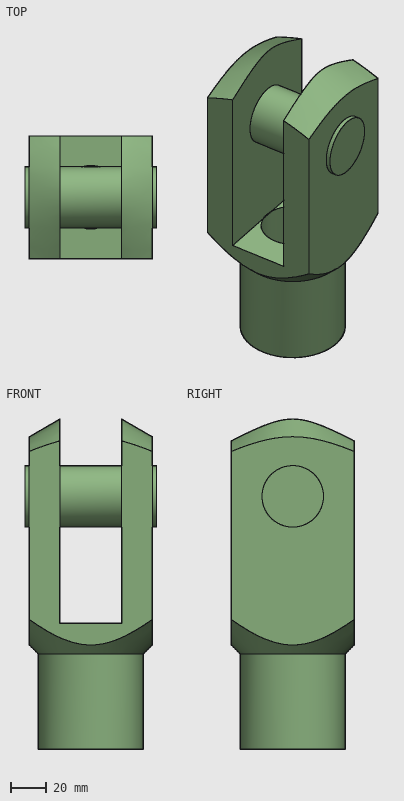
import cadquery as cq
import math

body_width = 70.0
total_height = 188.0
slot_width = 35.0
slot_floor = 72.0

neck_diameter = 60.0
neck_height = 54.5
neck_chamfer = 0.5
bore_diameter = 36.0

pin_diameter = 35.0
pin_length = 75.0
pin_height = 144.0

top_cone_angle = 30.0
bottom_cone_angle = 45.0


def make_turned_envelope():
    """Solid of revolution that bevels the square body at top and bottom."""
    outer_radius = body_width
    top_radius = slot_width / 2
    bottom_radius = neck_diameter / 2
    top_drop = (outer_radius - top_radius) * math.tan(math.radians(top_cone_angle))
    bottom_rise = (outer_radius - bottom_radius) * math.tan(math.radians(bottom_cone_angle))
    profile = [
        (0, neck_height),
        (bottom_radius, neck_height),
        (outer_radius, neck_height + bottom_rise),
        (outer_radius, total_height - top_drop),
        (top_radius, total_height),
        (0, total_height),
    ]
    return cq.Workplane("XZ").polyline(profile).close().revolve(360, (0, 0), (0, 1))


def make_fork():
    """Square body with beveled ends, split by the slot into two arms."""
    block = (
        cq.Workplane("XY")
        .workplane(offset=neck_height)
        .rect(body_width, body_width)
        .extrude(total_height - neck_height)
    )
    slot = (
        cq.Workplane("XY")
        .workplane(offset=slot_floor)
        .rect(slot_width, body_width)
        .extrude(total_height - slot_floor)
    )
    return block.intersect(make_turned_envelope()).cut(slot)


def make_neck():
    """Cylindrical neck with a small chamfer on its lower rim."""
    neck = cq.Workplane("XY").circle(neck_diameter / 2).extrude(neck_height)
    return neck.faces("<Z").edges().chamfer(neck_chamfer)


def make_bore():
    """Axial bore from the neck end up to the slot floor."""
    return cq.Workplane("XY").circle(bore_diameter / 2).extrude(slot_floor)


def make_pin():
    """Cross pin through both arms, standing slightly proud on each side."""
    return (
        cq.Workplane("YZ")
        .center(0, pin_height)
        .circle(pin_diameter / 2)
        .extrude(pin_length / 2, both=True)
    )


result = make_fork().union(make_neck()).cut(make_bore()).union(make_pin())